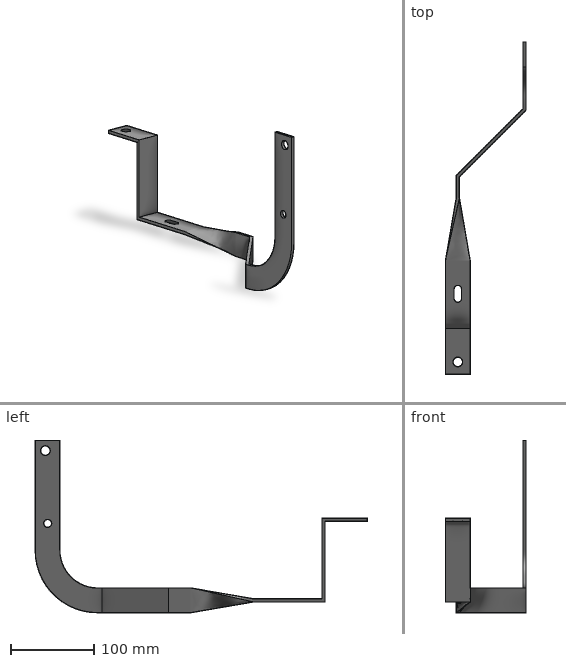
import cadquery as cq
import math

width = 30.0
thickness = 4.0
mid = width / 2
thin_low = mid - thickness / 2
thin_high = mid + thickness / 2

riser_front_y = 50.5
twist_start_y = 136.3
twist_end_y = 211.5
first_bend_y = 238.5
total_length = 398.5

flange_top_z = 113.5
overall_height = 207.0
overall_width = 97.0
arm_left_x = overall_width - thickness
second_bend_y = first_bend_y + arm_left_x - thin_low
elbow_radius = 75.0

flange_hole_diameter = 11.0
flange_hole_y = 14.7
slot_length = 20.0
slot_width = 8.8
slot_y = 96.5
upper_hole_diameter = 11.0
upper_hole_y, upper_hole_z = 386.0, 194.5
lower_hole_diameter = 9.0
lower_hole_y, lower_hole_z = 383.5, 107.0


def make_stepped_end():
    """Z-shaped strip: top flange, riser and flat base, with a hole and a slot."""
    riser_back_y = riser_front_y + thickness
    strip = (
        cq.Workplane("YZ")
        .polyline([
            (0, flange_top_z),
            (riser_back_y, flange_top_z),
            (riser_back_y, thin_high),
            (twist_start_y, thin_high),
            (twist_start_y, thin_low),
            (riser_front_y, thin_low),
            (riser_front_y, flange_top_z - thickness),
            (0, flange_top_z - thickness),
        ])
        .close()
        .extrude(width)
    )
    hole = (
        cq.Workplane("XY")
        .center(mid, flange_hole_y)
        .circle(flange_hole_diameter / 2)
        .extrude(overall_height)
    )
    slot = (
        cq.Workplane("XY")
        .center(mid, slot_y)
        .slot2D(slot_length, slot_width, 90)
        .extrude(flange_top_z)
    )
    return strip.cut(hole).cut(slot)


def make_twist():
    """Quarter twist with straight edges; the -X edge of the flat strip rises to the top."""
    flat_corners = [(0, thin_low), (0, thin_high), (width, thin_high), (width, thin_low)]
    upright_corners = [(thin_low, width), (thin_high, width), (thin_high, 0), (thin_low, 0)]
    start = [cq.Vector(x, twist_start_y, z) for x, z in flat_corners]
    end = [cq.Vector(x, twist_end_y, z) for x, z in upright_corners]
    faces = [
        cq.Face.makeFromWires(cq.Wire.makePolygon(corners, close=True))
        for corners in (start, end)
    ]
    for i in range(len(start)):
        start_edge = cq.Edge.makeLine(start[i - 1], start[i])
        end_edge = cq.Edge.makeLine(end[i - 1], end[i])
        faces.append(cq.Face.makeRuledSurface(start_edge, end_edge))
    solid = cq.Solid.makeSolid(cq.Shell.makeShell(faces))
    return cq.Workplane(solid.fix())


def make_arm():
    """Upright strip with a 45 degree jog, curving up into a vertical arm with two holes."""
    miter = thickness * math.tan(math.radians(45 / 2))
    jogged_strip = (
        cq.Workplane("XY")
        .polyline([
            (thin_low, twist_end_y),
            (thin_low, first_bend_y),
            (arm_left_x, second_bend_y),
            (arm_left_x, total_length),
            (overall_width, total_length),
            (overall_width, second_bend_y - miter),
            (thin_high, first_bend_y - miter),
            (thin_high, twist_end_y),
        ])
        .close()
        .extrude(overall_height)
    )
    elbow_y = total_length - elbow_radius
    inner_radius = elbow_radius - width
    diagonal = math.sqrt(0.5)
    outline = (
        cq.Workplane("YZ")
        .moveTo(twist_end_y, 0)
        .lineTo(elbow_y, 0)
        .threePointArc(
            (elbow_y + elbow_radius * diagonal, elbow_radius * (1 - diagonal)),
            (total_length, elbow_radius),
        )
        .lineTo(total_length, overall_height)
        .lineTo(total_length - width, overall_height)
        .lineTo(total_length - width, elbow_radius)
        .threePointArc(
            (elbow_y + inner_radius * diagonal, elbow_radius - inner_radius * diagonal),
            (elbow_y, width),
        )
        .lineTo(twist_end_y, width)
        .close()
        .extrude(overall_width)
    )
    arm = jogged_strip.intersect(outline)
    for y, z, diameter in (
        (upper_hole_y, upper_hole_z, upper_hole_diameter),
        (lower_hole_y, lower_hole_z, lower_hole_diameter),
    ):
        hole = cq.Workplane("YZ").center(y, z).circle(diameter / 2).extrude(overall_width)
        arm = arm.cut(hole)
    return arm


result = make_stepped_end().union(make_twist()).union(make_arm())